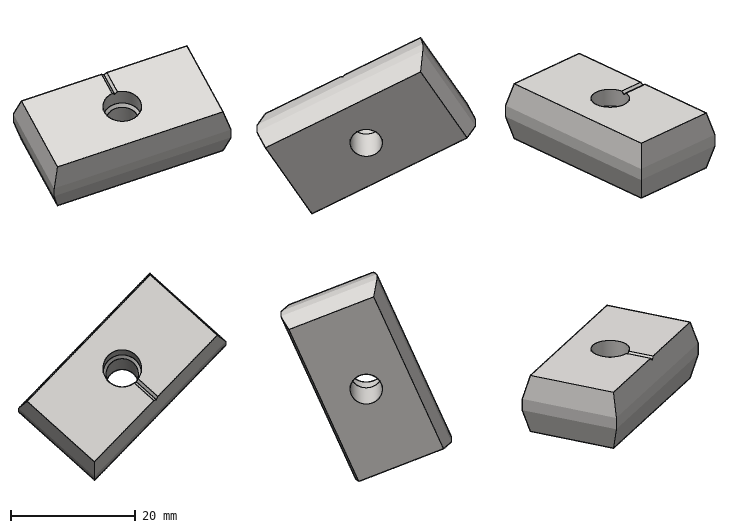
import cadquery as cq

width = 16.8
length = 31.0
height = 10.0

band_height = 2.0
taper_inset = 1.0
taper_height = (height - band_height) / 2

bore_diameter = 6.2
bore_depth = 3.0
through_diameter = 5.2
cone_depth = (bore_diameter - through_diameter) / 2

groove_width = 0.93
groove_depth = groove_width / 2


def tapered_half(direction):
    """Frustum running from the edge of the middle band to the top (1) or bottom (-1) face."""
    return (
        cq.Workplane("XY", origin=(0, 0, direction * band_height / 2))
        .rect(width, length)
        .workplane(offset=direction * taper_height)
        .rect(width - 2 * taper_inset, length - 2 * taper_inset)
        .loft(ruled=True)
    )


def stepped_hole():
    """Bore, cone and through hole revolved as one profile about the Z axis."""
    top = height / 2
    cone_top = top - bore_depth
    return (
        cq.Workplane("XZ")
        .moveTo(0, top)
        .lineTo(bore_diameter / 2, top)
        .lineTo(bore_diameter / 2, cone_top)
        .lineTo(through_diameter / 2, cone_top - cone_depth)
        .lineTo(through_diameter / 2, -height / 2)
        .lineTo(0, -height / 2)
        .close()
        .revolve(360, (0, 0), (0, 1))
    )


def index_groove():
    """Triangular prism cutting the top face from outside the block to the hole axis."""
    top = height / 2
    return (
        cq.Workplane("YZ", origin=(-width / 2, 0, 0))
        .moveTo(-groove_width / 2, top)
        .lineTo(0, top - groove_depth)
        .lineTo(groove_width / 2, top)
        .close()
        .extrude(width / 2)
    )


band = cq.Workplane("XY").box(width, length, band_height)
block = band.union(tapered_half(1)).union(tapered_half(-1))
result = block.cut(stepped_hole()).cut(index_groove())